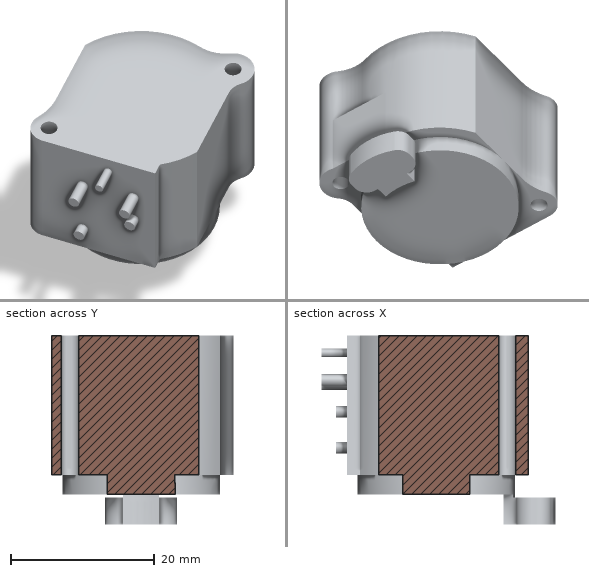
import cadquery as cq
import math

body_height = 19.5
body_half_width = 11.0
body_radius = 12.8
front_corner_x = 7.05

lug_offset = 9.9
front_lug_radius = 2.6
back_lug_radius = 3.0
lug_hole_diameter = 2.35
front_lug_blend = 8.0
back_lug_side_blend = 3.0
back_lug_top_blend = 5.6
shelf_height = body_height / 2

base_radius = 11.0
base_height = 2.7
stem_width = 5.0
stem_inner_radius = 9.7
tab_gap = 0.4
tab_bottom = 6.9
tab_width = 10.0
tab_inner_y = 11.2
tab_outer_y = 16.62
tab_outer_radius = 9.7
tab_corner_radius = 2.0

front_face_y = -lug_offset - front_lug_radius
pin_spread = 3.8
contact_pin_diameter = 1.6
centre_pin_diameter = 1.2
long_pin = 3.5
short_pin = 1.5
pins = [
    (0, 17.1, centre_pin_diameter, long_pin),
    (-pin_spread, 12.7, contact_pin_diameter, long_pin),
    (pin_spread, 13.3, contact_pin_diameter, long_pin),
    (pin_spread, 8.85, contact_pin_diameter, short_pin),
    (-pin_spread, 3.85, contact_pin_diameter, short_pin),
]

front_lug = (-lug_offset, -lug_offset)
back_lug = (lug_offset, lug_offset)


def toward(start, target, distance):
    """Point at a distance from start on the line to target; a negative distance points away."""
    dx = target[0] - start[0]
    dy = target[1] - start[1]
    scale = distance / math.hypot(dx, dy)
    return (start[0] + dx * scale, start[1] + dy * scale)


def arc_middle(centre, start, end, radius):
    """Middle point of the shorter arc between two points of a circle."""
    chord_middle = ((start[0] + end[0]) / 2, (start[1] + end[1]) / 2)
    return toward(centre, chord_middle, radius)


def side_blend_centre(lug, lug_radius, blend_radius, side):
    """Centre of an arc tangent to a body side and to the lug, on the lug's inner side."""
    x = side * (body_half_width + blend_radius)
    rise = math.sqrt((blend_radius + lug_radius) ** 2 - (x - lug[0]) ** 2)
    return (x, lug[1] - side * rise)


def top_blend_centre():
    """Centre of the hollow arc tangent to the body circle and to the back lug."""
    to_body = body_radius + back_lug_top_blend
    to_lug = back_lug_radius + back_lug_top_blend
    spacing = math.hypot(*back_lug)
    along = (to_body**2 - to_lug**2 + spacing**2) / (2 * spacing)
    angle = math.atan2(back_lug[1], back_lug[0]) + math.acos(along / to_body)
    return (to_body * math.cos(angle), to_body * math.sin(angle))


def make_body():
    corner_y = math.sqrt(body_radius**2 - body_half_width**2)
    step_y = -math.sqrt(body_radius**2 - front_corner_x**2)
    left_corner = (-body_half_width, corner_y)
    right_corner = (body_half_width, -corner_y)
    step_corner = (front_corner_x, step_y)

    hollow = top_blend_centre()
    hollow_start = toward((0, 0), hollow, body_radius)
    hollow_end = toward(back_lug, hollow, back_lug_radius)

    right = side_blend_centre(back_lug, back_lug_radius, back_lug_side_blend, 1)
    right_start = toward(back_lug, right, back_lug_radius)
    right_end = (body_half_width, right[1])

    left = side_blend_centre(front_lug, front_lug_radius, front_lug_blend, -1)
    left_start = (-body_half_width, left[1])
    left_end = toward(front_lug, left, front_lug_radius)

    back_lug_outer = toward(back_lug, (0, 0), -back_lug_radius)
    front_lug_outer = toward(front_lug, (0, 0), -front_lug_radius)

    body = (
        cq.Workplane("XY")
        .moveTo(*left_corner)
        .threePointArc(arc_middle((0, 0), left_corner, hollow_start, body_radius), hollow_start)
        .threePointArc(arc_middle(hollow, hollow_start, hollow_end, back_lug_top_blend), hollow_end)
        .threePointArc(back_lug_outer, right_start)
        .threePointArc(arc_middle(right, right_start, right_end, back_lug_side_blend), right_end)
        .lineTo(*right_corner)
        .threePointArc(arc_middle((0, 0), right_corner, step_corner, body_radius), step_corner)
        .lineTo(front_corner_x, front_face_y)
        .lineTo(front_lug[0], front_face_y)
        .threePointArc(front_lug_outer, left_end)
        .threePointArc(arc_middle(left, left_end, left_start, front_lug_blend), left_start)
        .close()
        .extrude(body_height)
    )

    shelf = (
        cq.Workplane("XY")
        .rect(lug_offset, body_radius, centered=False)
        .extrude(shelf_height)
    )
    return body.union(shelf)


def make_lug_holes():
    return (
        cq.Workplane("XY")
        .pushPoints([front_lug, back_lug])
        .circle(lug_hole_diameter / 2)
        .extrude(body_height)
    )


def make_base():
    return cq.Workplane("XY").circle(base_radius).extrude(-base_height)


def make_stem():
    """Strip of the base rim reaching down to the bottom of the tab."""
    ring = (
        cq.Workplane("XY")
        .circle(base_radius)
        .circle(stem_inner_radius)
        .extrude(-tab_bottom)
    )
    strip = (
        cq.Workplane("XY")
        .center(-stem_width / 2, 0)
        .rect(stem_width, tab_outer_y, centered=False)
        .extrude(-tab_bottom)
    )
    return ring.intersect(strip)


def make_tab():
    """Rounded tab with an arched outer end, joined to the stem by a short neck."""
    tab_top = base_height + tab_gap
    tab_height = tab_bottom - tab_top
    half_width = tab_width / 2
    arc_centre_y = tab_outer_y - tab_outer_radius
    shoulder_y = arc_centre_y + math.sqrt(tab_outer_radius**2 - half_width**2)
    plate = (
        cq.Workplane("XY")
        .workplane(offset=-tab_top)
        .moveTo(-half_width, tab_inner_y)
        .lineTo(-half_width, shoulder_y)
        .threePointArc((0, tab_outer_y), (half_width, shoulder_y))
        .lineTo(half_width, tab_inner_y)
        .close()
        .extrude(-tab_height)
        .edges("|Z")
        .fillet(tab_corner_radius)
    )
    neck_start_y = math.sqrt(base_radius**2 - (stem_width / 2) ** 2)
    neck = (
        cq.Workplane("XY")
        .workplane(offset=-tab_top)
        .center(-stem_width / 2, neck_start_y)
        .rect(stem_width, tab_inner_y - neck_start_y, centered=False)
        .extrude(-tab_height)
    )
    return plate.union(neck)


def make_pin(x, z, diameter, length):
    return (
        cq.Workplane("XZ", origin=(x, front_face_y, z))
        .circle(diameter / 2)
        .extrude(length)
    )


result = make_body().cut(make_lug_holes())
result = result.union(make_base()).union(make_stem()).union(make_tab())
for pin in pins:
    result = result.union(make_pin(*pin))